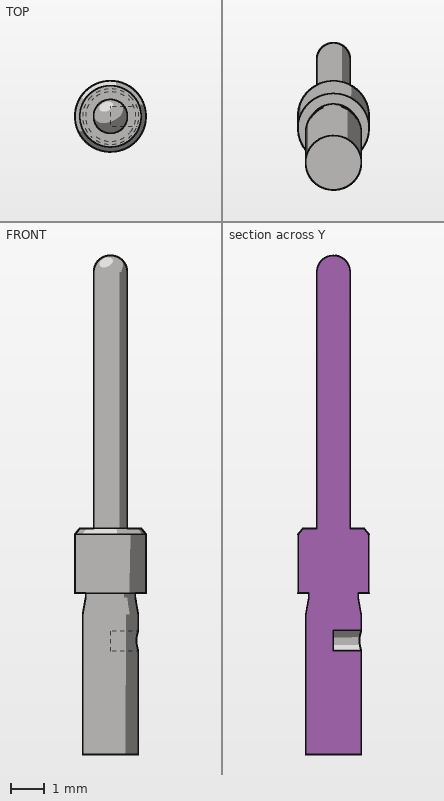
import cadquery as cq

total_length = 14.8
pin_radius = 0.5
collar_diameter = 2.12
collar_top = 6.7
collar_length = 1.92
collar_chamfer_height = 0.18
collar_chamfer_width = 0.15
neck_radius = 0.74
neck_length = 0.13
barrel_radius = 0.83
barrel_length = 4.15
side_hole_radius = 0.3
side_hole_height = 3.37

collar_radius = collar_diameter / 2
collar_bottom = collar_top - collar_length


def turned_body():
    """Barrel, tapered neck, collar and pin as stacked round sections."""
    barrel = cq.Workplane("XY").circle(barrel_radius).extrude(barrel_length)

    neck_bottom = collar_bottom - neck_length
    taper = (
        cq.Workplane("XY", origin=(0, 0, barrel_length))
        .circle(barrel_radius)
        .workplane(offset=neck_bottom - barrel_length)
        .circle(neck_radius)
        .loft()
    )
    neck = cq.Workplane("XY", origin=(0, 0, neck_bottom)).circle(neck_radius).extrude(neck_length)

    collar = (
        cq.Workplane("XY", origin=(0, 0, collar_bottom))
        .circle(collar_radius)
        .extrude(collar_length)
        .faces(">Z")
        .chamfer(collar_chamfer_height, collar_chamfer_width)
    )
    return barrel.union(taper).union(neck).union(collar).union(round_tipped_pin())


def round_tipped_pin():
    """Pin above the collar, ending in a hemisphere."""
    dome_base = total_length - pin_radius
    dome_side = pin_radius * 0.5 ** 0.5
    return (
        cq.Workplane("XZ")
        .moveTo(0, collar_top)
        .lineTo(pin_radius, collar_top)
        .lineTo(pin_radius, dome_base)
        .threePointArc((dome_side, dome_base + dome_side), (0, total_length))
        .close()
        .revolve(360, (0, 0, 0), (0, 1, 0))
    )


def side_hole():
    """Radial hole entering the barrel from +X and stopping at its axis."""
    return (
        cq.Workplane("YZ", origin=(0, 0, side_hole_height))
        .circle(side_hole_radius)
        .extrude(collar_radius)
    )


result = turned_body().cut(side_hole())